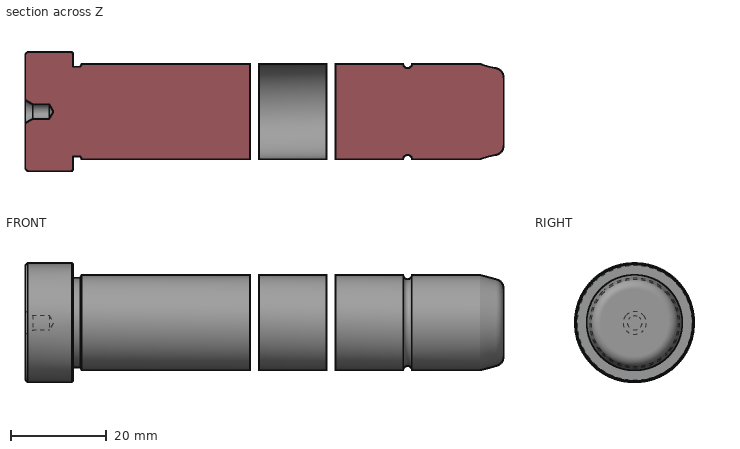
import cadquery as cq
import math

total_length = 100.0
head_radius = 12.5
head_length = 10.0
head_face_chamfer = 0.5
head_shoulder_chamfer = 0.3
shaft_radius = 10.0

neck_radius = 9.4
neck_end = head_length + 1.5
neck_taper = 0.3

groove_count = 3
first_groove_center = 47.9
groove_pitch = 16.0
groove_radius = 0.9

nose_length = 5.0
tip_length = 1.5
nose_angle = 15.0

countersink_radius = 2.4
pilot_radius = 1.5
countersink_depth = 1.6
pilot_depth = 5.0
drill_half_angle = 60.0


def make_head():
    """Cylindrical head with a small chamfer on each rim."""
    return (
        cq.Workplane("XZ")
        .lineTo(0, head_radius - head_face_chamfer)
        .lineTo(head_face_chamfer, head_radius)
        .lineTo(head_length - head_shoulder_chamfer, head_radius)
        .lineTo(head_length, head_radius - head_shoulder_chamfer)
        .lineTo(head_length, 0)
        .close()
        .revolve(360, (0, 0, 0), (1, 0, 0))
    )


def make_shaft():
    """Revolve the neck, guide shaft and rounded nose about the X axis."""
    nose_start = total_length - nose_length
    tip_start = total_length - tip_length
    tip_radius = shaft_radius - (tip_start - nose_start) * math.tan(math.radians(nose_angle))
    slope = math.radians(nose_angle)
    arc_radius = tip_length / (1 - math.sin(slope))
    arc_center_x = total_length - arc_radius
    arc_center_r = tip_radius - arc_radius * math.cos(slope)
    mid_angle = (math.pi / 2 - slope) / 2
    arc_middle = (
        arc_center_x + arc_radius * math.cos(mid_angle),
        arc_center_r + arc_radius * math.sin(mid_angle),
    )
    return (
        cq.Workplane("XZ")
        .moveTo(head_length / 2, 0)
        .lineTo(head_length / 2, neck_radius)
        .lineTo(neck_end, neck_radius)
        .lineTo(neck_end + neck_taper, shaft_radius)
        .lineTo(nose_start, shaft_radius)
        .lineTo(tip_start, tip_radius)
        .threePointArc(arc_middle, (total_length, arc_center_r))
        .lineTo(total_length, 0)
        .close()
        .revolve(360, (0, 0, 0), (1, 0, 0))
    )


def make_groove(center_x):
    """Ring of circular section, centered on the shaft surface."""
    return (
        cq.Workplane("XZ")
        .center(center_x, shaft_radius)
        .circle(groove_radius)
        .revolve(360, (0, -shaft_radius, 0), (1, -shaft_radius, 0))
    )


def make_center_hole():
    """Countersunk pilot hole with a conical drill point."""
    point_length = pilot_radius / math.tan(math.radians(drill_half_angle))
    return (
        cq.Workplane("XZ")
        .lineTo(0, countersink_radius)
        .lineTo(countersink_depth, pilot_radius)
        .lineTo(pilot_depth, pilot_radius)
        .lineTo(pilot_depth + point_length, 0)
        .close()
        .revolve(360, (0, 0, 0), (1, 0, 0))
    )


result = make_head().union(make_shaft())
for index in range(groove_count):
    result = result.cut(make_groove(first_groove_center + index * groove_pitch))
result = result.cut(make_center_hole())